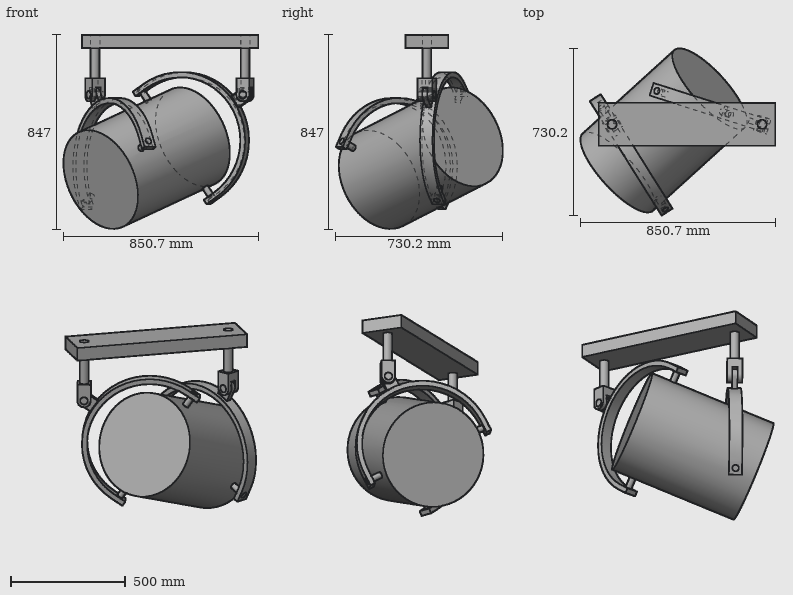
import cadquery as cq
import math


plate_length = 770.0
plate_width = 188.0
plate_thickness = 58.0

rod_spacing = 654.5
rod_diameter = 40.0
rod_drop = 131.0
clevis_width = 59.0
clevis_depth = 66.0
clevis_pivot_depth = 72.0
slot_width = 23.0
slot_headroom = 32.0
pivot_pin_diameter = 33.0

yoke_width = 57.0
yoke_thickness = 23.0
yoke_outer_radius = 298.0
yoke_reach = 380.0
pad_length = 59.0
pad_half = pad_length / 2
yoke_inner_radius = yoke_outer_radius - yoke_thickness
tongue_radius = clevis_width / 2

drum_radius = 228.0
drum_length = 574.0
drum_pin_diameter = 28.0
drum_pin_inset = 97.0
drum_center = cq.Vector(-102.0, -26.0, -480.0)
drum_heading = 42.3
drum_rise = 19.0

sides = (-1, 1)

heading = math.radians(drum_heading)
rise = math.radians(drum_rise)
drum_axis = cq.Vector(
    math.cos(rise) * math.cos(heading),
    math.cos(rise) * math.sin(heading),
    math.sin(rise),
)
drum_start = drum_center - drum_axis * (drum_length / 2)
pin_offset = drum_length / 2 - drum_pin_inset
pivot_drop = rod_drop + clevis_pivot_depth


def yoke_plane(side):
    """Plane of one yoke: origin midway between its drum pins, x along them, y up to its pivot.

    The plane is vertical, so that the pivot pin lies level in the upright clevis.
    """
    pivot = cq.Vector(side * rod_spacing / 2, 0, -pivot_drop)
    up_arm = (pivot - (drum_center + drum_axis * (side * pin_offset))).normalized()
    pivot_direction = up_arm.cross(cq.Vector(0, 0, 1)).normalized()
    return cq.Plane(
        origin=pivot - up_arm * yoke_reach,
        xDir=up_arm.cross(pivot_direction),
        normal=pivot_direction,
    )


def make_plate():
    """Flat plate with a hole for each rod."""
    return (
        cq.Workplane("XY")
        .box(plate_length, plate_width, plate_thickness, centered=(True, True, False))
        .faces(">Z")
        .workplane()
        .rarray(rod_spacing, 8.5, 2, 1)
        .hole(rod_diameter)
    )


def make_hanger(side):
    """Rod flush with the plate's top, and a round-ended clevis turned square to its yoke."""
    pivot_direction = yoke_plane(side).zDir
    rod_x = side * rod_spacing / 2
    half_width = clevis_width / 2
    clevis_plane = cq.Plane(
        origin=(rod_x, 0, -pivot_drop),
        xDir=cq.Vector(0, 0, 1).cross(pivot_direction),
        normal=pivot_direction,
    )
    clevis = (
        cq.Workplane(clevis_plane)
        .moveTo(-half_width, clevis_pivot_depth)
        .lineTo(-half_width, 0)
        .threePointArc((0, -half_width), (half_width, 0))
        .lineTo(half_width, clevis_pivot_depth)
        .close()
        .extrude(clevis_depth / 2, both=True)
    )
    slot_height = slot_headroom + half_width
    slot = (
        cq.Workplane(clevis_plane)
        .center(0, slot_headroom - slot_height / 2)
        .rect(clevis_width, slot_height)
        .extrude(slot_width / 2, both=True)
    )
    pivot_hole = (
        cq.Workplane(clevis_plane)
        .circle(pivot_pin_diameter / 2)
        .extrude(clevis_depth / 2, both=True)
    )
    rod = (
        cq.Workplane("XY", origin=(rod_x, 0, -rod_drop))
        .circle(rod_diameter / 2)
        .extrude(rod_drop + plate_thickness)
    )
    return clevis.cut(slot).cut(pivot_hole).union(rod)


def arch(plane, radius):
    """Solid arch: a half disc above a straight-sided foot that reaches past the drum pins."""
    return (
        cq.Workplane(plane)
        .moveTo(-radius, -pad_half)
        .lineTo(-radius, pad_half)
        .threePointArc((0, pad_half + radius), (radius, pad_half))
        .lineTo(radius, -pad_half)
        .close()
        .extrude(yoke_width / 2, both=True)
    )


def drum_pin_rod(plane):
    """Rod along both drum pins of one yoke, flush with the outside of the yoke's pads."""
    return (
        cq.Workplane(cq.Plane(origin=plane.origin, xDir=plane.yDir, normal=plane.xDir))
        .circle(drum_pin_diameter / 2)
        .extrude(yoke_outer_radius, both=True)
    )


def make_yoke(side):
    """Half ring with drum-pin holes, a tongue on its crown and the pivot pin across the tongue."""
    plane = yoke_plane(side)
    ring = arch(plane, yoke_outer_radius).cut(arch(plane, yoke_inner_radius))
    tongue_start = pad_half + yoke_outer_radius - yoke_thickness / 2
    tongue = (
        cq.Workplane(plane)
        .moveTo(-tongue_radius, tongue_start)
        .lineTo(-tongue_radius, yoke_reach)
        .threePointArc((0, yoke_reach + tongue_radius), (tongue_radius, yoke_reach))
        .lineTo(tongue_radius, tongue_start)
        .close()
        .extrude(slot_width / 2, both=True)
    )
    pivot_pin = (
        cq.Workplane(plane)
        .center(0, yoke_reach)
        .circle(pivot_pin_diameter / 2)
        .extrude(clevis_depth / 2, both=True)
    )
    return ring.cut(drum_pin_rod(plane)).union(tongue).union(pivot_pin)


def make_drum():
    """Plain cylinder with a pair of opposite side pins for each yoke."""
    drum = (
        cq.Workplane(cq.Plane(origin=drum_start, normal=drum_axis))
        .circle(drum_radius)
        .extrude(drum_length)
    )
    for side in sides:
        drum = drum.union(drum_pin_rod(yoke_plane(side)))
    return drum


plate = make_plate()
hangers = [make_hanger(side) for side in sides]
yokes = [make_yoke(side) for side in sides]
drum = make_drum()

bodies = [plate, *hangers, *yokes, drum]
result = cq.Compound.makeCompound([solid for body in bodies for solid in body.solids().vals()])